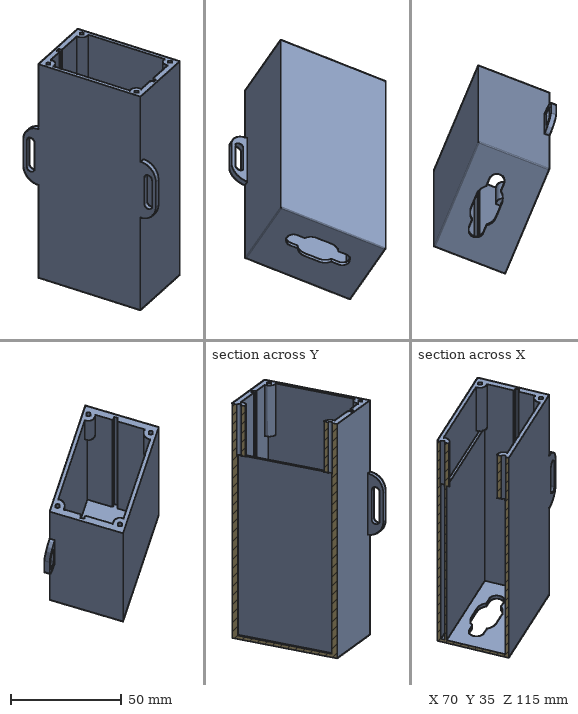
import cadquery as cq

body_x = 53.9
body_y = 35.0
body_z = 115.0
side_wall = 3.0
face_wall = 2.0
floor = 2.0
base_rounding = 0.5

post_inset_x = 3.7
post_inset_y = 2.6
post_radius = 3.2
post_length = 25.0
screw_hole_diameter = 2.0

partition_gap = 1.5
partition_thickness = 1.3
partition_top = body_z - post_length

groove_depth = 1.6
groove_width = 1.7
groove_y = -2.4
groove_chamfer = 0.5

opening_y = 2.5
long_slot_length = 32.0
long_slot_width = 7.0
wide_slot_length = 19.5
wide_slot_width = 12.2

overall_x = 70.0
ear_reach = (overall_x - body_x) / 2
ear_height = 30.0
ear_thickness = 2.5
ear_top_drop = 35.0
ear_z = body_z - ear_top_drop - ear_height / 2
ear_slot_length = 18.0
ear_slot_width = 4.0
ear_slot_margin = 2.0
ear_slot_x = overall_x / 2 - ear_slot_margin - ear_slot_width / 2

cavity_x = body_x - 2 * side_wall
cavity_y = body_y - 2 * face_wall
cavity_z = body_z - floor


def block(size_x, size_y, size_z, center_x, center_y, bottom_z):
    """Box centered in X and Y, standing on bottom_z."""
    base = cq.Workplane("XY", origin=(center_x, center_y, bottom_z))
    return base.rect(size_x, size_y).extrude(size_z)


def shell():
    outer = block(body_x, body_y, body_z, 0, 0, 0).faces("<Z").fillet(base_rounding)
    return outer.cut(block(cavity_x, cavity_y, cavity_z, 0, 0, floor))


def partition():
    center_y = cavity_y / 2 - partition_gap - partition_thickness / 2
    return block(cavity_x, partition_thickness, partition_top - floor, 0, center_y, floor)


def corner_cylinders(radius):
    """Four cylinders on the screw axes, from the rim down the post length."""
    spacing_x = body_x - 2 * post_inset_x
    spacing_y = body_y - 2 * post_inset_y
    top = cq.Workplane("XY", origin=(0, 0, body_z))
    return top.rect(spacing_x, spacing_y, forConstruction=True).vertices().circle(radius).extrude(-post_length)


def screw_posts():
    """Corner posts, kept inside the outline of the box."""
    return corner_cylinders(post_radius).intersect(block(body_x, body_y, body_z, 0, 0, 0))


def guide_groove(side):
    """Groove in the +X (side = 1) or -X (side = -1) wall, flared at its mouth."""
    wall_x = side * cavity_x / 2
    bottom_x = wall_x + side * groove_depth
    throat_x = wall_x + side * groove_chamfer
    half_width = groove_width / 2
    half_mouth = half_width + groove_chamfer
    outline = [
        (wall_x, half_mouth),
        (throat_x, half_width),
        (bottom_x, half_width),
        (bottom_x, -half_width),
        (throat_x, -half_width),
        (wall_x, -half_mouth),
    ]
    base = cq.Workplane("XY", origin=(0, groove_y, floor))
    return base.polyline(outline).close().extrude(cavity_z)


def floor_opening():
    base = cq.Workplane("XY", origin=(0, opening_y, 0))
    long_slot = base.slot2D(long_slot_length, long_slot_width).extrude(floor)
    wide_slot = base.slot2D(wide_slot_length, wide_slot_width).extrude(floor)
    return long_slot.union(wide_slot)


def ears():
    """Plate along the -Y face whose rounded ends form both ears, hollow across the cavity."""
    plate = block(overall_x, ear_thickness, ear_height, 0, (ear_thickness - body_y) / 2, ear_z - ear_height / 2)
    plate = plate.edges("|Y").fillet(ear_reach)
    return plate.cut(block(cavity_x, body_y, body_z, 0, 0, 0))


def ear_slots():
    front = cq.Workplane("XZ", origin=(0, -body_y / 2, ear_z))
    centers = [(-ear_slot_x, 0), (ear_slot_x, 0)]
    return front.pushPoints(centers).slot2D(ear_slot_length, ear_slot_width, 90).extrude(-ear_thickness)


result = (
    shell()
    .union(partition())
    .union(screw_posts())
    .union(ears())
    .cut(corner_cylinders(screw_hole_diameter / 2))
    .cut(guide_groove(1))
    .cut(guide_groove(-1))
    .cut(floor_opening())
    .cut(ear_slots())
)